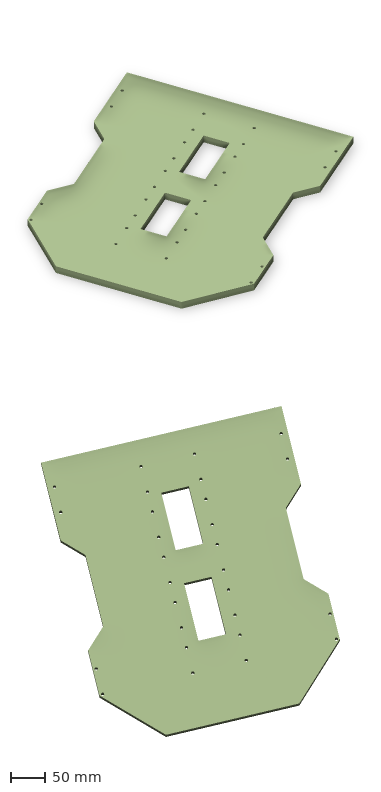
import cadquery as cq

length = 440.0
width = 360.0
thickness = 12.8
half_length = length / 2
half_width = width / 2

corner_cut = 80.0
recess_depth = 30.0
recess_start = 100.0
recess_end = -70.0

hole_diameter = 5.0
pair_spacing = 39.0
pair_pitch = 70.0
pair_count = 5
first_hole_inset = 40.0
inner_hole_x = 40.0
rear_outer_hole_x = 170.0
front_outer_hole_x = 175.0

window_width = 41.5
window_length = 89.0
window_pairs = (1, 3)


def pair_center_y(index):
    """Y of the middle of a hole pair, counted from the +Y end."""
    return half_length - first_hole_inset - pair_spacing / 2 - index * pair_pitch


def hole_pair(x, index):
    """Positions of one hole pair and its mirror image across X = 0."""
    middle = pair_center_y(index)
    return [
        (side * x, middle + offset)
        for side in (-1, 1)
        for offset in (-pair_spacing / 2, pair_spacing / 2)
    ]


def make_plate():
    """Plate outline, symmetric about the YZ plane."""
    recess_x = half_width - recess_depth
    right_side = [
        (half_width, half_length),
        (half_width, recess_start),
        (recess_x, recess_start - recess_depth),
        (recess_x, recess_end + recess_depth),
        (half_width, recess_end),
        (half_width, corner_cut - half_length),
        (half_width - corner_cut, -half_length),
    ]
    left_side = [(-x, y) for x, y in reversed(right_side)]
    return cq.Workplane("XY").polyline(right_side + left_side).close().extrude(thickness)


def make_windows():
    centers = [(0, pair_center_y(index)) for index in window_pairs]
    return (
        cq.Workplane("XY")
        .pushPoints(centers)
        .rect(window_width, window_length)
        .extrude(thickness)
    )


def make_holes():
    points = hole_pair(rear_outer_hole_x, 0)
    points += hole_pair(front_outer_hole_x, pair_count - 1)
    for index in range(pair_count):
        points += hole_pair(inner_hole_x, index)
    return cq.Workplane("XY").pushPoints(points).circle(hole_diameter / 2).extrude(thickness)


result = make_plate().cut(make_windows()).cut(make_holes())